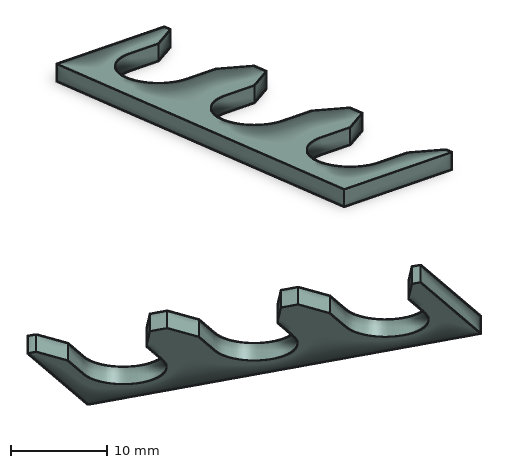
import cadquery as cq
import math

length = 45.0
slot_count = 3
thickness = 2.0
slot_width = 9.0
tip_width = 1.0
flare_angle = 60.0

pitch = length / slot_count
depth = pitch
slot_radius = slot_width / 2
web = (pitch - slot_width) / 2
slot_center_y = web + slot_radius
mouth_half_width = pitch / 2 - tip_width
flare_run = mouth_half_width - slot_radius
flare_start_y = depth - flare_run * math.tan(math.radians(flare_angle))


def slot_cutter(center_x):
    """Round-bottomed slot with a flared mouth, open at the +Y edge."""
    return (
        cq.Workplane("XY")
        .moveTo(center_x - mouth_half_width, depth)
        .lineTo(center_x - slot_radius, flare_start_y)
        .lineTo(center_x - slot_radius, slot_center_y)
        .threePointArc((center_x, web), (center_x + slot_radius, slot_center_y))
        .lineTo(center_x + slot_radius, flare_start_y)
        .lineTo(center_x + mouth_half_width, depth)
        .close()
        .extrude(thickness)
    )


result = cq.Workplane("XY").box(length, depth, thickness, centered=False)
for index in range(slot_count):
    result = result.cut(slot_cutter((index + 0.5) * pitch))